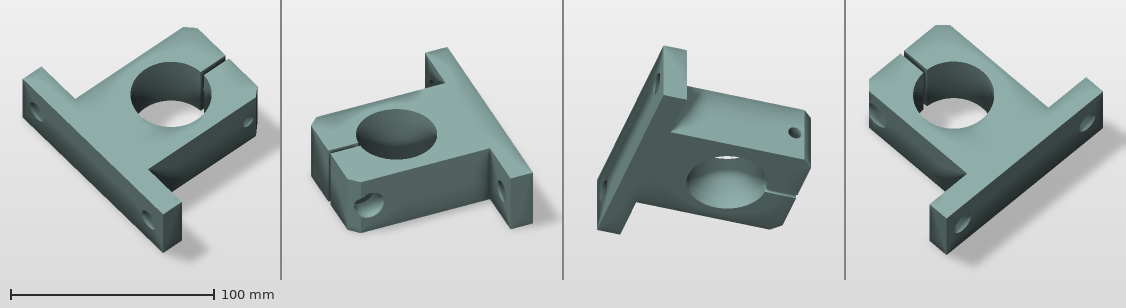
import cadquery as cq

base_length = 108.0
total_depth = 86.0
height = 32.0

flange_thickness = 12.0
block_width = 56.0
corner_chamfer = 5.0

bore_diameter = 40.0
bore_y = 50.0
slit_width = 2.5

mount_hole_diameter = 11.0
mount_hole_spacing = 86.0

screw_y = 76.0
head_diameter = 15.0
head_depth = 12.0
clearance_diameter = 9.0
thread_diameter = 6.8

mid_height = height / 2


def make_body():
    """Flange and clamp block, with the block's two free corners chamfered."""
    flange = cq.Workplane("XY").box(base_length, flange_thickness, height, centered=(True, False, False))
    block = (
        cq.Workplane("XY")
        .box(block_width, total_depth, height, centered=(True, False, False))
        .edges("|Z and >Y")
        .chamfer(corner_chamfer)
    )
    return flange.union(block)


def make_bore_and_slit():
    """Shaft bore joined to a slit that runs out through the free end."""
    bore = cq.Workplane("XY").center(0, bore_y).circle(bore_diameter / 2).extrude(height)
    slit = (
        cq.Workplane("XY", origin=(0, bore_y, 0))
        .box(slit_width, total_depth - bore_y, height, centered=(True, False, False))
    )
    return bore.union(slit)


def make_mount_holes():
    """Two plain holes running along Y through the flange."""
    return (
        cq.Workplane("XZ", origin=(0, 0, mid_height))
        .pushPoints([(-mount_hole_spacing / 2, 0), (mount_hole_spacing / 2, 0)])
        .circle(mount_hole_diameter / 2)
        .extrude(-flange_thickness)
    )


def screw_section(diameter, start_x, length):
    """Cylinder on the clamp screw axis, growing toward +X."""
    return (
        cq.Workplane("YZ", origin=(start_x, screw_y, mid_height))
        .circle(diameter / 2)
        .extrude(length)
    )


def make_screw_hole():
    """Recess and clearance hole on the -X jaw, threaded size through the +X jaw."""
    side_x = -block_width / 2
    head = screw_section(head_diameter, side_x, head_depth)
    clearance = screw_section(clearance_diameter, side_x, block_width / 2)
    thread = screw_section(thread_diameter, side_x, block_width)
    return head.union(clearance).union(thread)


result = (
    make_body()
    .cut(make_bore_and_slit())
    .cut(make_mount_holes())
    .cut(make_screw_hole())
)